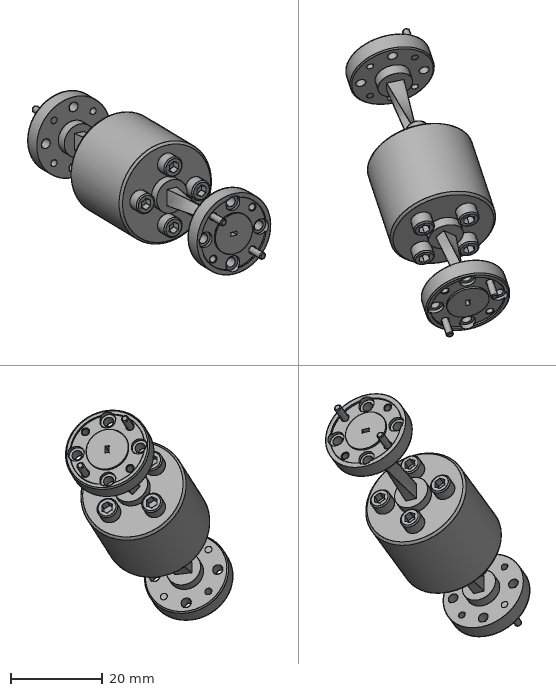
import cadquery as cq
import math

overall_length = 77.7
flange_face_x = 34.95
flange_thickness = 4.05
flange_boss_height = 2.4
housing_start_x = -13.5
housing_length = 20.8
housing_boss_height = 2.2

housing_diameter = 23.85
housing_chamfer = 0.55

flange_diameter = 19.0
flange_chamfer = 0.3
boss_diameter = 7.85
center_pad_diameter = 9.55
rim_inner_diameter = 16.85
face_groove_depth = 0.5
bolt_circle_radius = 7.15
bolt_hole_diameter = 2.25
counterbore_diameter = 3.6
counterbore_depth = 1.25
pin_diameter = 1.55
pin_hole_chamfer = 0.15
pin_chamfer = 0.2
slot_long = 1.6
slot_short = 0.85
slot_depth = flange_thickness

tube_long = 3.9
tube_short = 2.5
left_twist = -45.0
right_twist = -90.0

screw_head_diameter = 4.65
screw_head_height = 2.95
screw_head_chamfer = 0.3
socket_across_flats = 2.3
socket_depth = 1.95
socket_sides = 6
socket_turn = 30

flange_back_x = flange_face_x - flange_thickness
flange_boss_x = flange_back_x - flange_boss_height
housing_end_x = housing_start_x + housing_length
pin_length = overall_length / 2 - flange_back_x

straight_angles = [0, 90, 180, 270]
diagonal_angles = [45, 135, 225, 315]
pin_angles = [135, 315]


def x_plane(x):
    """Sketch plane across the X axis at x, with local axes along Y and Z."""
    return cq.Workplane("YZ", origin=(x, 0, 0))


def on_bolt_circle(angles):
    """(Y, Z) points on the bolt circle at the given angles from +Y."""
    return [
        (
            bolt_circle_radius * math.cos(math.radians(angle)),
            bolt_circle_radius * math.sin(math.radians(angle)),
        )
        for angle in angles
    ]


def cylinder(start_x, length, diameter):
    """Cylinder on the X axis."""
    return x_plane(start_x).circle(diameter / 2).extrude(length)


def turn_to_right_end(shape):
    """Half turn about the diagonal through the pins: swaps the ends, and Y with Z."""
    return shape.rotate((0, 0, 0), (0, 1, -1), 180)


def make_housing():
    """Chamfered cylinder with a round boss on each end."""
    body = cylinder(housing_start_x, housing_length, housing_diameter)
    body = body.faces("<X or >X").chamfer(housing_chamfer)
    boss_length = housing_length + 2 * housing_boss_height
    return body.union(cylinder(housing_start_x - housing_boss_height, boss_length, boss_diameter))


def make_left_flange(chamfered_face):
    """End flange with its mating face toward -X; the rim of the selected disc face is chamfered."""
    face_x = -flange_face_x
    flange = cylinder(face_x, flange_thickness, flange_diameter)
    flange = flange.faces(chamfered_face).chamfer(flange_chamfer)
    flange = flange.union(cylinder(-flange_back_x, flange_boss_height, boss_diameter))

    face_groove = (
        x_plane(face_x)
        .circle(rim_inner_diameter / 2)
        .circle(center_pad_diameter / 2)
        .extrude(face_groove_depth)
    )
    bolt_points = on_bolt_circle(straight_angles)
    bolt_holes = (
        x_plane(face_x).pushPoints(bolt_points).circle(bolt_hole_diameter / 2).extrude(flange_thickness)
    )
    counterbores = (
        x_plane(face_x).pushPoints(bolt_points).circle(counterbore_diameter / 2).extrude(counterbore_depth)
    )
    pin_points = on_bolt_circle(diagonal_angles)
    pin_holes = x_plane(face_x).pushPoints(pin_points).circle(pin_diameter / 2).extrude(flange_thickness)
    mouth_x = face_x + face_groove_depth
    pin_hole_mouths = (
        x_plane(mouth_x + pin_hole_chamfer)
        .pushPoints(pin_points)
        .circle(pin_diameter / 2)
        .extrude(-pin_hole_chamfer, taper=-45)
    )
    slot = x_plane(face_x).rect(slot_short, slot_long).extrude(slot_depth)
    for cutout in (face_groove, bolt_holes, counterbores, pin_holes, pin_hole_mouths, slot):
        flange = flange.cut(cutout)
    return flange


def tube_corners(x, turn):
    """Corners of the tube section at x, turned by the given degrees from standing tall in Z."""
    half_y = tube_short / 2
    half_z = tube_long / 2
    cos_turn = math.cos(math.radians(turn))
    sin_turn = math.sin(math.radians(turn))
    corners = [(-half_y, -half_z), (half_y, -half_z), (half_y, half_z), (-half_y, half_z)]
    return [cq.Vector(x, y * cos_turn - z * sin_turn, y * sin_turn + z * cos_turn) for y, z in corners]


def make_twisted_tube(start_x, end_x, twist):
    """Rectangular tube with straight edges, tall in Z at start_x and turned by twist at end_x."""
    start = tube_corners(start_x, 0)
    end = tube_corners(end_x, twist)
    faces = [cq.Face.makeFromWires(cq.Wire.makePolygon(corners, close=True)) for corners in (start, end)]
    for i in range(len(start)):
        start_edge = cq.Edge.makeLine(start[i - 1], start[i])
        end_edge = cq.Edge.makeLine(end[i - 1], end[i])
        faces.append(cq.Face.makeRuledSurface(start_edge, end_edge))
    return cq.Workplane(cq.Solid.makeSolid(cq.Shell.makeShell(faces)))


def make_screw_heads(face_x, outward, angles):
    """Four socket heads standing on a housing face; outward is -1 for -X and 1 for +X."""
    points = on_bolt_circle(angles)
    top_x = face_x + outward * screw_head_height
    heads = x_plane(face_x).pushPoints(points).circle(screw_head_diameter / 2)
    heads = heads.extrude(outward * screw_head_height)
    heads = heads.faces(">X" if outward > 0 else "<X").chamfer(screw_head_chamfer)
    socket_diameter = socket_across_flats / math.cos(math.pi / socket_sides)
    socket_points = on_bolt_circle([angle - socket_turn for angle in angles])
    sockets = x_plane(top_x).transformed(rotate=(0, 0, socket_turn)).pushPoints(socket_points)
    sockets = sockets.polygon(socket_sides, socket_diameter).extrude(-outward * socket_depth)
    return heads.cut(sockets)


def make_isolator():
    """Housing with its screw heads, both twisted tubes and both end flanges as one piece."""
    left_flange = make_left_flange("<X")
    right_flange = turn_to_right_end(make_left_flange(">X"))
    left_tube = make_twisted_tube(-flange_boss_x, housing_start_x - housing_boss_height, left_twist)
    right_tube = make_twisted_tube(housing_end_x + housing_boss_height, flange_boss_x, right_twist)
    return (
        make_housing()
        .union(left_flange)
        .union(right_flange)
        .union(left_tube)
        .union(right_tube)
        .union(make_screw_heads(housing_start_x, -1, diagonal_angles))
        .union(make_screw_heads(housing_end_x, 1, straight_angles))
    )


def make_left_pin(point):
    """Dowel pin from the back of the left flange out to the end of the part."""
    pin = x_plane(-overall_length / 2).center(*point).circle(pin_diameter / 2).extrude(pin_length)
    return pin.faces("<X").chamfer(pin_chamfer)


isolator = make_isolator()
pins = []
for pin_point in on_bolt_circle(pin_angles):
    left_pin = make_left_pin(pin_point)
    pins.append(left_pin)
    pins.append(turn_to_right_end(left_pin))

result = cq.Compound.makeCompound([isolator.solids().val(), *[pin.val() for pin in pins]])